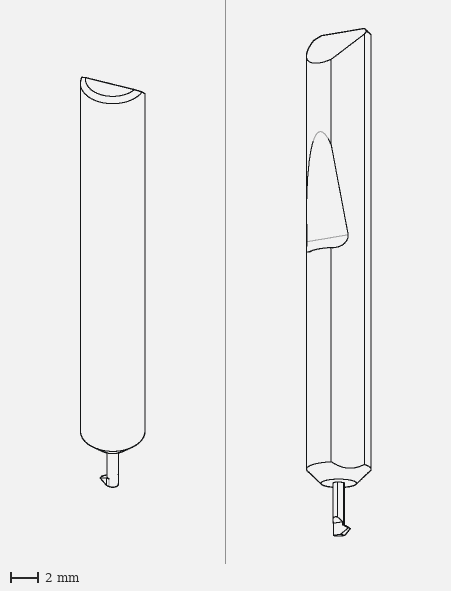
import cadquery as cq

total_length = 38.1
shank_diameter = 4.75
shank_radius = shank_diameter / 2
shank_bottom = 3.9
top_chamfer = 0.4
bottom_chamfer = 1.05

flat_direction = 145.0
flat_depth = 0.4

slope_edge_y = -0.55

notch_bottom = 21.15
notch_top = 30.0
notch_depth = 1.25
notch_radius = 1.05

neck_diameter = 0.88
neck_radius = neck_diameter / 2
neck_flat_depth = 0.057
rake_face_y = 0.08
rake_height = 0.9
tooth_reach = 0.9
tooth_height = 0.4
tooth_root_x = -0.35
tooth_root_top = 0.72
tip_bottom_x = -0.23
tooth_thickness = 0.5
tooth_inner_x = 0.1
tooth_tip_thickness = 0.25

cut_size = shank_diameter


def flat_cutter(distance, bottom, height):
    """Block whose inner face lies at the given distance from the bar axis."""
    block = cq.Workplane("XY").box(cut_size, 2 * cut_size, height, centered=(False, True, False))
    return block.translate((distance, 0, bottom)).rotate((0, 0, 0), (0, 0, 1), flat_direction)


def side_cutter(outline):
    """Extrude an outline drawn in Y and Z right across the bar."""
    return outline.close().extrude(cut_size, both=True)


def make_shank():
    shank_length = total_length - shank_bottom
    shank = cq.Workplane("XY").workplane(offset=shank_bottom).circle(shank_radius).extrude(shank_length)
    shank = shank.faces(">Z").chamfer(top_chamfer)
    shank = shank.faces("<Z").chamfer(bottom_chamfer)
    shank = shank.cut(flat_cutter(shank_radius - flat_depth, shank_bottom, shank_length))

    slope_run = cut_size
    slope = cq.Workplane("YZ").polyline([
        (slope_edge_y, total_length),
        (slope_edge_y + slope_run, total_length - slope_run),
        (slope_edge_y + slope_run, total_length),
    ])
    shank = shank.cut(side_cutter(slope))

    notch_floor_y = shank_radius - notch_depth
    notch = (
        cq.Workplane("YZ")
        .moveTo(shank_radius, notch_top)
        .lineTo(notch_floor_y, notch_bottom + notch_radius)
        .radiusArc((notch_floor_y + notch_radius, notch_bottom), -notch_radius)
        .lineTo(shank_radius, notch_bottom)
    )
    return shank.cut(side_cutter(notch))


def make_neck():
    neck_length = shank_bottom + bottom_chamfer
    neck = cq.Workplane("XY").circle(neck_radius).extrude(neck_length)
    neck = neck.cut(flat_cutter(neck_radius - neck_flat_depth, 0, neck_length))

    run_out = neck_radius - rake_face_y
    relief = cq.Workplane("YZ").polyline([
        (rake_face_y, 0),
        (neck_radius, 0),
        (neck_radius, rake_height + run_out),
        (rake_face_y, rake_height),
    ])
    neck = neck.cut(side_cutter(relief))

    clearance = cq.Workplane("XZ").polyline([
        (-tooth_reach, tooth_height),
        (tip_bottom_x, 0),
        (-tooth_reach, 0),
    ])
    return neck.cut(side_cutter(clearance))


def make_tooth():
    """Pointed tooth reaching out towards -X behind the rake face."""
    outline = [
        (tooth_root_x, tooth_root_top),
        (-tooth_reach, tooth_height),
        (tip_bottom_x, 0),
        (tooth_inner_x, 0),
        (tooth_inner_x, tooth_root_top),
    ]
    rake_plane = cq.Workplane("XZ", origin=(0, rake_face_y, 0))
    tooth = rake_plane.polyline(outline).close().extrude(tooth_thickness)

    tooth_back_y = rake_face_y - tooth_thickness
    back_relief = (
        cq.Workplane("XY")
        .polyline([
            (tooth_root_x, tooth_back_y),
            (-tooth_reach, rake_face_y - tooth_tip_thickness),
            (-tooth_reach, tooth_back_y),
        ])
        .close()
        .extrude(tooth_root_top)
    )
    return tooth.cut(back_relief)


result = make_shank().union(make_neck()).union(make_tooth())